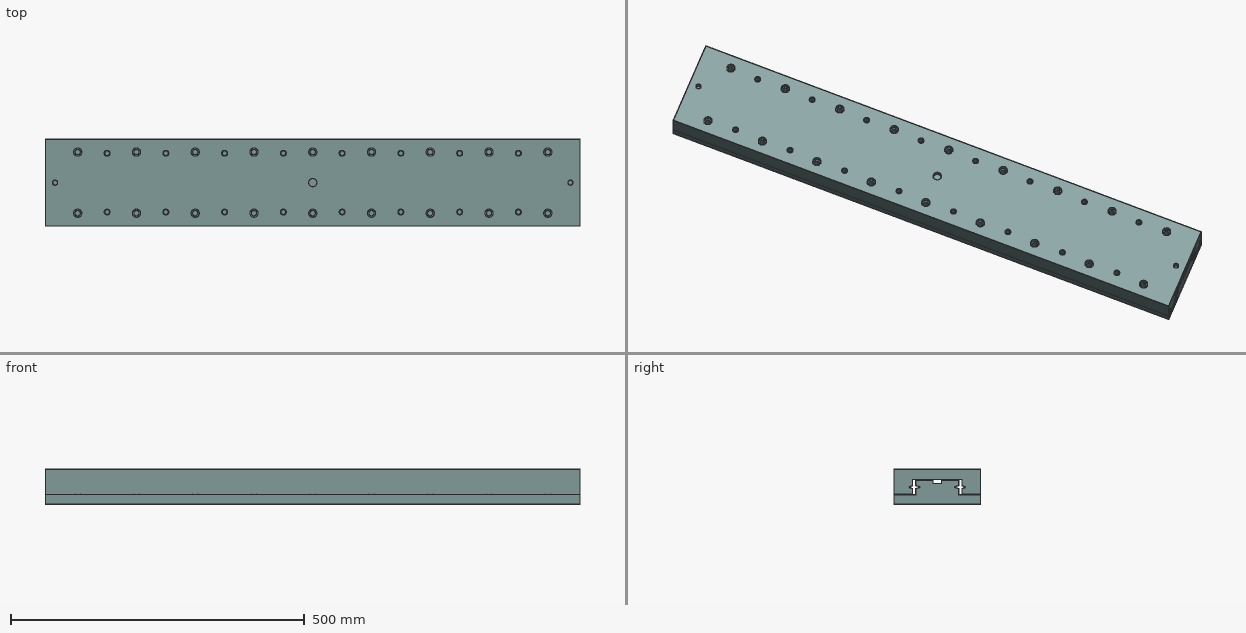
import cadquery as cq

length = 910.0
width = 148.0
height = 60.0
edge_chamfer = 0.5
overcut = 1.0

flange_gap = 0.6
side_gap = 5.0
roof_gap = 0.6

flange_height = 16.4
block_width = 74.0
block_top = 41.2
groove_width = 14.0
groove_floor = 35.7

track_height = 29.2
track_opening = 5.0
rail_track_depth = 8.0
carriage_track_depth = 6.0

carriage_bottom = flange_height + flange_gap
channel_width = block_width + 2 * side_gap
channel_roof = block_top + roof_gap

single = (1, 1)
countersink_angle = 45
hole_pitch = 100.0
bolt_count = 9
bolt_row_spacing = 104.0
bolt_diameter = 9.0
bolt_head_diameter = 14.0
bolt_head_depth = 9.0
tapped_count = bolt_count - 1
tapped_row_spacing = 100.0
tapped_diameter = 8.0
tapped_mouth_diameter = 10.0
tapped_depth = 16.0
centre_bore_diameter = 14.0
centre_bore_depth = 10.0
end_hole_spacing = 877.0
end_hole_diameter = 8.0
end_hole_mouth_diameter = 9.0
end_hole_depth = 10.0

face_hole_depth = 12.0
upper_hole_diameter = 4.0
upper_hole_spacing = 90.0
upper_hole_height = 49.0
lower_hole_diameter = 4.0
lower_hole_mouth_diameter = 6.0
lower_hole_spacing = 135.0
lower_hole_height = 29.0


def bar(size_y, bottom, top):
    """Full-length bar between two heights."""
    return cq.Workplane("XY").workplane(offset=bottom).rect(length, size_y).extrude(top - bottom)


def break_edges(body, long_edge_side):
    """Chamfer every edge of both end faces and the long edges of the given side."""
    edges = body.faces("<X or >X").edges().add(body.faces(long_edge_side).edges("|X"))
    return edges.chamfer(edge_chamfer)


def track_cutter(wall_y, direction, depth):
    """Full-length V groove cut into a wall; direction is the sign of Y pointing into the wall."""
    mouth_y = wall_y - direction * overcut
    tip_y = wall_y + direction * depth
    half_opening = track_opening / 2
    profile = [
        (mouth_y, track_height - half_opening),
        (wall_y, track_height - half_opening),
        (tip_y, track_height),
        (wall_y, track_height + half_opening),
        (mouth_y, track_height + half_opening),
    ]
    return cq.Workplane("YZ").polyline(profile).close().extrude(length / 2, both=True)


def make_rail():
    rail = bar(width, 0, flange_height).union(bar(block_width, 0, block_top))
    rail = rail.cut(bar(groove_width, groove_floor, block_top))
    rail = break_edges(rail, "<Z")
    for side in (-1, 1):
        rail = rail.cut(track_cutter(side * block_width / 2, -side, rail_track_depth))
    return rail


def sink_holes(body, face, columns, rows, diameter, depth):
    """Sink a grid of holes behind a face; columns and rows are (spacing, count) pairs."""
    grid = face.rarray(columns[0], rows[0], columns[1], rows[1])
    return body.cut(grid.circle(diameter / 2).extrude(-depth))


def sink_countersunk_holes(body, face, columns, rows, diameter, mouth_diameter, depth):
    """Grid of blind holes with a 45 degree countersink at the mouth."""
    mouth_depth = (mouth_diameter - diameter) / 2
    body = sink_holes(body, face, columns, rows, diameter, depth)
    grid = face.rarray(columns[0], rows[0], columns[1], rows[1])
    cones = grid.circle(mouth_diameter / 2).extrude(-mouth_depth, taper=countersink_angle)
    return body.cut(cones)


def make_carriage():
    carriage = bar(width, carriage_bottom, height)
    carriage = carriage.cut(bar(channel_width, carriage_bottom, channel_roof))
    carriage = break_edges(carriage, ">Z")
    for side in (-1, 1):
        carriage = carriage.cut(track_cutter(side * channel_width / 2, side, carriage_track_depth))

    top = cq.Workplane("XY").workplane(offset=height)
    bolts = ((hole_pitch, bolt_count), (bolt_row_spacing, 2))
    tapped = ((hole_pitch, tapped_count), (tapped_row_spacing, 2))
    ends = ((end_hole_spacing, 2), single)
    carriage = sink_holes(carriage, top, *bolts, bolt_diameter, height - carriage_bottom)
    carriage = sink_holes(carriage, top, *bolts, bolt_head_diameter, bolt_head_depth)
    carriage = sink_countersunk_holes(
        carriage, top, *tapped, tapped_diameter, tapped_mouth_diameter, tapped_depth
    )
    carriage = sink_countersunk_holes(
        carriage, top, *ends, end_hole_diameter, end_hole_mouth_diameter, end_hole_depth
    )
    carriage = sink_holes(carriage, top, single, single, centre_bore_diameter, centre_bore_depth)

    end = cq.Workplane(cq.Plane((-length / 2, 0, 0), (0, -1, 0), (-1, 0, 0)))
    upper_face = end.center(0, upper_hole_height)
    lower_face = end.center(0, lower_hole_height)
    upper_pair = ((upper_hole_spacing, 2), single)
    lower_pair = ((lower_hole_spacing, 2), single)
    carriage = sink_holes(carriage, upper_face, *upper_pair, upper_hole_diameter, face_hole_depth)
    carriage = sink_countersunk_holes(
        carriage, lower_face, *lower_pair, lower_hole_diameter, lower_hole_mouth_diameter, face_hole_depth
    )
    return carriage


rail = make_rail()
carriage = make_carriage()
result = cq.Compound.makeCompound([rail.val(), carriage.val()])